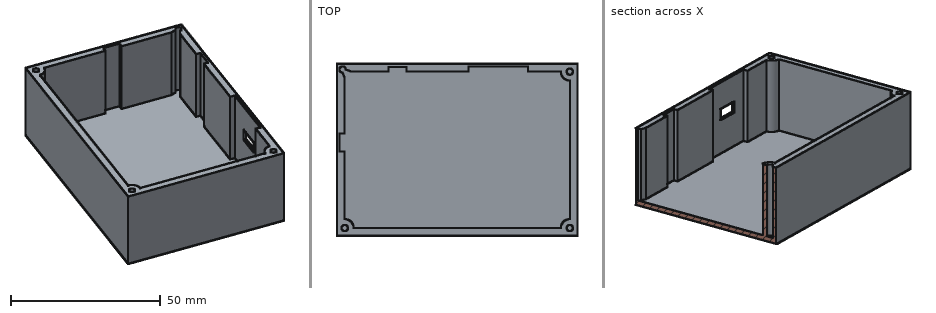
import cadquery as cq

length = 80.7
width = 57.7
height = 28.0
wall = 2.7
floor = 2.0
depth = height - floor
overlap = 0.8

hole_diameter = 2.1
hole_radius = hole_diameter / 2
post_radius = 3.0
open_hole_inset = 1.9
neck_reach = 4.8

skin = 1.0
small_back_skin = 1.1
small_recess_width = 6.0
large_recess_width = 20.0
small_recess_x = -20.0
large_recess_x = 13.7
side_recess_y = 2.5

window_width = 8.0
window_height = 4.0
window_center_x = 14.5
window_center_z = 16.2

left = -length / 2
back = width / 2
inner_x = length / 2 - wall
inner_y = width / 2 - wall
post_corners = [(-inner_x, -inner_y), (inner_x, -inner_y), (inner_x, inner_y)]


def upright_block(x_min, x_max, y_min, y_max):
    """Block from the cavity floor to the rim."""
    return (
        cq.Workplane("XY", origin=((x_min + x_max) / 2, (y_min + y_max) / 2, floor))
        .rect(x_max - x_min, y_max - y_min)
        .extrude(depth)
    )


def upright_cylinders(centers, radius):
    """Cylinders from the cavity floor to the rim."""
    return cq.Workplane("XY", origin=(0, 0, floor)).pushPoints(centers).circle(radius).extrude(depth)


def back_recess(center_x, recess_width, remaining_skin):
    """Recess in the inner face of the back wall."""
    half = recess_width / 2
    return upright_block(center_x - half, center_x + half, inner_y - overlap, back - remaining_skin)


def side_recess(center_y, recess_width):
    """Recess in the inner face of the left wall."""
    half = recess_width / 2
    return upright_block(left + skin, -inner_x + overlap, center_y - half, center_y + half)


def open_corner():
    """Screw hole in the back left corner, joined to the cavity by a flared neck."""
    hole_x = left + open_hole_inset
    hole_y = back - open_hole_inset
    neck = (
        cq.Workplane("XY", origin=(0, 0, floor))
        .polyline([
            (hole_x, hole_y),
            (hole_x + hole_radius, hole_y),
            (left + neck_reach, inner_y),
            (left + neck_reach, back - neck_reach),
            (-inner_x, back - neck_reach),
            (hole_x, hole_y - hole_radius),
        ])
        .close()
        .extrude(depth)
    )
    return neck.union(upright_cylinders([(hole_x, hole_y)], hole_radius))


def window():
    """Rectangular opening through the back wall."""
    return cq.Workplane("XY", origin=(window_center_x, back, window_center_z)).box(
        window_width, 2 * wall, window_height
    )


cavity = upright_block(-inner_x, inner_x, -inner_y, inner_y)
cavity = cavity.cut(upright_cylinders(post_corners, post_radius))

result = cq.Workplane("XY").box(length, width, height, centered=(True, True, False))
result = (
    result.cut(cavity)
    .cut(upright_cylinders(post_corners, hole_radius))
    .cut(open_corner())
    .cut(back_recess(small_recess_x, small_recess_width, small_back_skin))
    .cut(back_recess(large_recess_x, large_recess_width, skin))
    .cut(side_recess(side_recess_y, small_recess_width))
    .cut(window())
)